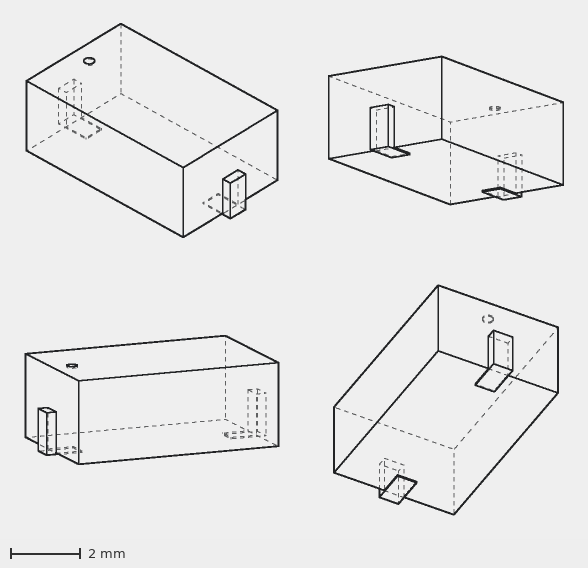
import cadquery as cq

overall_length = 6.8
overall_height = 2.49

housing_length = 6.2
housing_width = 3.91
standoff = 0.04
housing_height = overall_height - standoff

terminal_width = 0.625
terminal_height = 1.245
foot_length = 1.09
upright_thickness = (overall_length - housing_length) / 2

mark_diameter = 0.31
mark_depth = 0.04
mark_x = -2.48


def make_mark():
    """Thin disc set into the housing top near the -X end."""
    return (
        cq.Workplane("XY", origin=(mark_x, 0, overall_height - mark_depth))
        .circle(mark_diameter / 2)
        .extrude(mark_depth)
    )


def make_housing(mark):
    """Plain block with a shallow recess that holds the mark."""
    block = (
        cq.Workplane("XY", origin=(0, 0, standoff))
        .rect(housing_length, housing_width)
        .extrude(housing_height)
    )
    return block.cut(mark)


def make_terminal(side):
    """L-shaped strip: upright on the end face, foot under the housing; side is -1 or +1."""
    outer_x = side * overall_length / 2
    face_x = outer_x - side * upright_thickness
    foot_end_x = outer_x - side * foot_length
    profile = [
        (outer_x, 0),
        (outer_x, terminal_height),
        (face_x, terminal_height),
        (face_x, standoff),
        (foot_end_x, standoff),
        (foot_end_x, 0),
    ]
    return (
        cq.Workplane("XZ")
        .polyline(profile)
        .close()
        .extrude(terminal_width / 2, both=True)
    )


mark = make_mark()
housing = make_housing(mark)
terminals = [make_terminal(side) for side in (-1, 1)]

result = cq.Compound.makeCompound(
    [housing.val(), mark.val(), *[terminal.val() for terminal in terminals]]
)